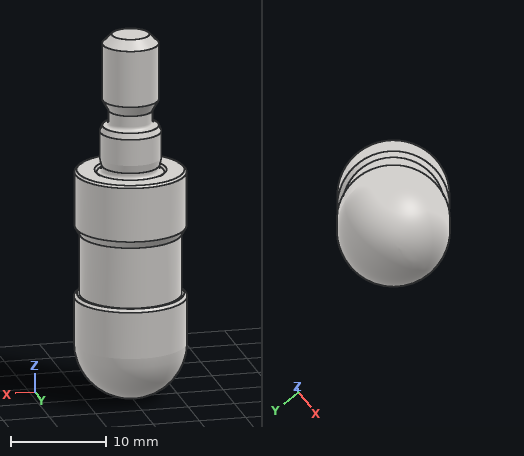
import cadquery as cq
import math

total_height = 39.88

barrel_radius = 11.92 / 2
barrel_top = 11.35
barrel_chamfer = 0.3
waist_radius = 10.8 / 2
waist_top = 18.0
collar_radius = 11.8 / 2
collar_bottom = 18.82
housing_top = 24.95
collar_chamfer = 0.25

socket_radius = 3.55
socket_chamfer = 0.25
socket_floor = collar_bottom
root_top = housing_top - socket_chamfer

neck_radius = 6.1 / 2
root_fillet = socket_radius - neck_radius
neck_top = 25.5
neck_lip_radius = 3.1
neck_lip_height = 25.6
shoulder_radius = 6.5 / 2
shoulder_bottom = 26.35
shoulder_top = 29.87
shoulder_chamfer_height = 0.65
shoulder_chamfer_width = 0.28
groove_radius = 4.65 / 2
groove_fillet = 0.48
groove_top = 31.55
head_radius = 6.0 / 2
head_bottom = 32.75
head_chamfer = 1.0


def fillet_midpoint(radius, floor, fillet):
    """Middle of a concave fillet between a shaft of this radius and a flat floor."""
    inset = fillet * (1 - math.sqrt(0.5))
    return radius + inset, floor + inset


def revolve_profile(profile):
    """Turn a closed radius-height profile about the Z axis."""
    return profile.close().revolve(360, (0, 0, 0), (0, 1, 0))


def make_housing():
    """Round-nosed barrel and collar, joined by a waist, with a chamfered socket on top."""
    dome_middle = (
        barrel_radius * math.sqrt(0.5),
        barrel_radius * (1 - math.sqrt(0.5)),
    )
    profile = (
        cq.Workplane("XZ")
        .moveTo(0, 0)
        .threePointArc(dome_middle, (barrel_radius, barrel_radius))
        .lineTo(barrel_radius, barrel_top - barrel_chamfer)
        .lineTo(barrel_radius - barrel_chamfer, barrel_top)
        .lineTo(waist_radius, barrel_top)
        .lineTo(waist_radius, waist_top)
        .lineTo(collar_radius, collar_bottom)
        .lineTo(collar_radius, housing_top - collar_chamfer)
        .lineTo(collar_radius - collar_chamfer, housing_top)
        .lineTo(socket_radius + socket_chamfer, housing_top)
        .lineTo(socket_radius, root_top)
        .lineTo(socket_radius, socket_floor)
        .lineTo(0, socket_floor)
    )
    return revolve_profile(profile)


def make_stud():
    """Stud with a root in the socket, a chamfered shoulder, a groove and a head."""
    profile = (
        cq.Workplane("XZ")
        .moveTo(0, socket_floor)
        .lineTo(socket_radius, socket_floor)
        .lineTo(socket_radius, root_top)
        .threePointArc(
            fillet_midpoint(neck_radius, root_top, root_fillet),
            (neck_radius, root_top + root_fillet),
        )
        .lineTo(neck_radius, neck_top)
        .lineTo(neck_lip_radius, neck_lip_height)
        .lineTo(shoulder_radius, shoulder_bottom)
        .lineTo(shoulder_radius, shoulder_top - shoulder_chamfer_height)
        .lineTo(shoulder_radius - shoulder_chamfer_width, shoulder_top)
        .lineTo(groove_radius + groove_fillet, shoulder_top)
        .threePointArc(
            fillet_midpoint(groove_radius, shoulder_top, groove_fillet),
            (groove_radius, shoulder_top + groove_fillet),
        )
        .lineTo(groove_radius, groove_top)
        .lineTo(head_radius, head_bottom)
        .lineTo(head_radius, total_height - head_chamfer)
        .lineTo(head_radius - head_chamfer, total_height)
        .lineTo(0, total_height)
    )
    return revolve_profile(profile)


housing = make_housing()
stud = make_stud()

result = cq.Compound.makeCompound([housing.val(), stud.val()])